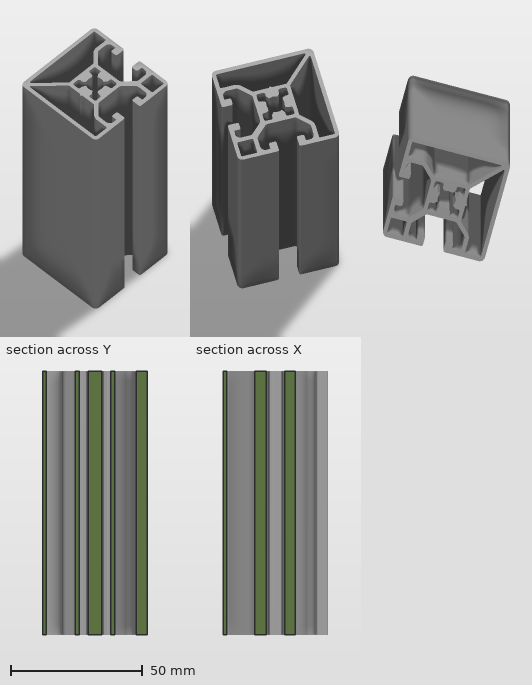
import cadquery as cq
import math


side = 40.0
length = 100.0
corner_radius = 2.0
half_side = side / 2

outer_wall = 1.6
inner_wall = 1.7
diagonal_web = 1.5
inner_face = half_side - outer_wall
chamber_edge_radius = 0.4

mouth_half_width = 4.0
lip_width = 3.0
lip_depth = 4.4
lip_edge_radius = 0.7
slot_skin = 1.8
slot_half_width = 10.5
slot_shoulder_radius = 2.0
slot_bend_radius = 1.6
slot_floor = 7.5
slot_flank_start = 5.8

corner_wall = 1.5
chamber_face = slot_half_width + inner_wall
chamber_bend_radius = 4.0

flank_drop = inner_wall * math.sqrt(2) + slot_flank_start - slot_floor

core_half_width = 7.5
core_cavity = 6.0
core_cavity_radius = 0.7
bore_radius = 3.4
boss_half_width = 2.6
boss_edge_radius = 0.4
y_boss_shoulder = 4.3
y_boss_tip_half_width = 1.6
y_boss_tip = math.sqrt(bore_radius**2 - y_boss_tip_half_width**2)
x_boss_shoulder = 4.6
x_boss_tip_half_width = 2.1
x_boss_tip = 3.3

ridge_radius = 0.5


def swapped(corners):
    """Mirror a list of (x, y, radius) corners about the line x = y."""
    return [(y, x, radius) for x, y, radius in corners]


def rounded_prism(corners):
    """Extrude a closed outline of (x, y, radius) corners over the full length; radius 0 is sharp."""
    outline = cq.Workplane("XY")
    for i, (x, y, radius) in enumerate(corners):
        corner = cq.Vector(x, y)
        before = cq.Vector(*corners[i - 1][:2])
        after = cq.Vector(*corners[(i + 1) % len(corners)][:2])
        to_before = (before - corner).normalized()
        to_after = (after - corner).normalized()
        half_angle = to_before.getAngle(to_after) / 2
        setback = radius / math.tan(half_angle)
        arc_start = corner + to_before * setback
        arc_end = corner + to_after * setback
        bisector = (to_before + to_after).normalized()
        arc_middle = corner + bisector * (radius / math.sin(half_angle) - radius)
        if i == 0:
            outline = outline.moveTo(arc_start.x, arc_start.y)
        else:
            outline = outline.lineTo(arc_start.x, arc_start.y)
        if radius > 0:
            outline = outline.threePointArc((arc_middle.x, arc_middle.y), (arc_end.x, arc_end.y))
    return outline.close().extrude(length)


def slot_corners():
    """Corners of the +Y slot, from its +X lip round to its -X lip."""
    lip_back = mouth_half_width + lip_width
    lip_end = half_side - lip_depth
    slot_roof = half_side - slot_skin
    flank_end = slot_floor + slot_half_width - slot_flank_start
    right_half = [
        (mouth_half_width, half_side, lip_edge_radius),
        (mouth_half_width, lip_end, lip_edge_radius),
        (lip_back, lip_end, lip_edge_radius),
        (lip_back, slot_roof, 0),
        (slot_half_width, slot_roof, slot_shoulder_radius),
        (slot_half_width, flank_end, slot_bend_radius),
        (slot_flank_start, slot_floor, slot_bend_radius),
    ]
    left_half = [(-x, y, radius) for x, y, radius in reversed(right_half)]
    return right_half + left_half


def body():
    """Solid section bounded by the outside faces and the two slots."""
    top_slot = slot_corners()
    right_slot = list(reversed(swapped(top_slot)))
    return rounded_prism(
        [(-half_side, -half_side, corner_radius), (half_side, -half_side, corner_radius)]
        + right_slot
        + [(half_side, half_side, corner_radius)]
        + top_slot
        + [(-half_side, half_side, corner_radius)]
    )


def side_chamber_corners():
    """Corners of the chamber behind the -X wall, bounded below by the diagonal web."""
    web_offset = diagonal_web / math.sqrt(2)
    return [
        (-inner_face, inner_face, chamber_edge_radius),
        (-inner_face, -inner_face + web_offset, chamber_edge_radius),
        (-core_half_width, -core_half_width + web_offset, 0),
        (-core_half_width, core_half_width - flank_drop, 0),
        (-chamber_face, chamber_face - flank_drop, chamber_bend_radius),
        (-chamber_face, inner_face, chamber_edge_radius),
    ]


def corner_chamber():
    """Square chamber in the +X +Y corner."""
    near = chamber_face
    far = half_side - corner_wall
    return rounded_prism([
        (near, near, chamber_edge_radius),
        (far, near, chamber_edge_radius),
        (far, far, chamber_edge_radius),
        (near, far, chamber_edge_radius),
    ])


def screw_core():
    """Cavity of the core: a square with a boss on each side, and a bore that hollows the boss tips."""
    first_quarter = [
        (x_boss_tip, x_boss_tip_half_width, boss_edge_radius),
        (x_boss_shoulder, boss_half_width, boss_edge_radius),
        (core_cavity, boss_half_width, core_cavity_radius),
        (core_cavity, core_cavity, core_cavity_radius),
        (boss_half_width, core_cavity, core_cavity_radius),
        (boss_half_width, y_boss_shoulder, boss_edge_radius),
        (y_boss_tip_half_width, y_boss_tip, 0),
    ]
    upper_half = first_quarter + [(-x, y, radius) for x, y, radius in reversed(first_quarter)]
    lower_half = [(-x, -y, radius) for x, y, radius in upper_half]
    bore = cq.Workplane("XY").circle(bore_radius).extrude(length)
    return rounded_prism(upper_half + lower_half).union(bore)


ridge = cq.Workplane("XY").center(0, -core_half_width).circle(ridge_radius).extrude(length)

result = (
    body()
    .cut(rounded_prism(side_chamber_corners()))
    .cut(rounded_prism(swapped(side_chamber_corners())))
    .cut(corner_chamber())
    .union(ridge)
    .cut(screw_core())
)